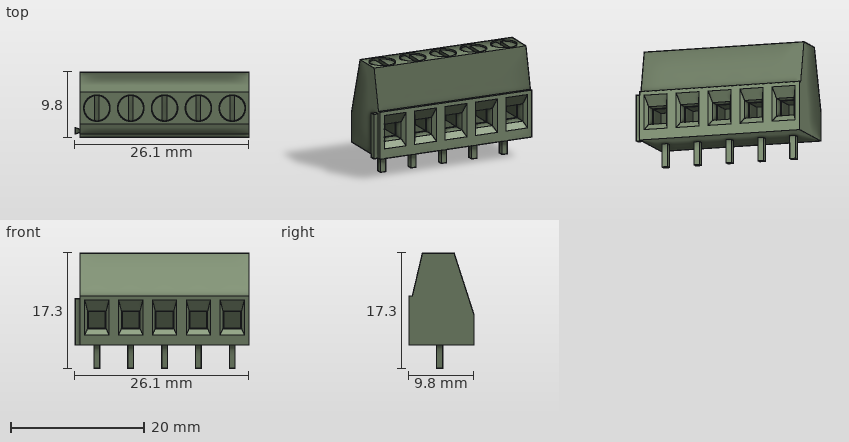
import cadquery as cq

pole_count = 5
pitch = 5.08
body_length = pole_count * pitch
body_depth = 9.8
body_height = 13.8

ledge_depth = 0.5
ledge_height = 7.4
top_front_y = 2.0
top_back_y = 6.8
back_wall_height = 4.5

entry_width = 3.65
entry_bottom = 1.55
entry_height = 5.25
throat_width = 2.8
throat_height = 2.7
throat_bottom = 2.45
bore_size = 2.5
funnel_depth = 0.8
throat_end_y = 2.6
bore_end_y = 6.0

screw_y = (top_front_y + top_back_y) / 2
screw_hole_diameter = 4.0
screw_diameter = 3.8
screw_hole_depth = 1.5
screw_recess = 0.2
slot_width = 0.7
slot_depth = 0.8

pin_width = 0.9
pin_thickness = 1.0
pin_length = 3.5
pin_y = 4.6

key_projection = 0.74
key_height = 7.0
key_y = 1.0
key_outer_width = 1.0
key_root_width = 0.5

pole_centres = [(index + 0.5) * pitch for index in range(pole_count)]


def make_housing():
    profile = [
        (0, 0),
        (body_depth, 0),
        (body_depth, back_wall_height),
        (top_back_y, body_height),
        (top_front_y, body_height),
        (ledge_depth, ledge_height),
        (0, ledge_height),
    ]
    return cq.Workplane("YZ").polyline(profile).close().extrude(body_length)


def make_wire_entry(pole_x):
    """Cutter for one wire entry, running inwards from the front face."""
    throat_z = throat_bottom + throat_height / 2
    entry_z = entry_bottom + entry_height / 2
    funnel = (
        cq.Workplane("XZ")
        .center(pole_x, entry_z)
        .rect(entry_width, entry_height)
        .workplane(offset=-funnel_depth)
        .center(0, throat_z - entry_z)
        .rect(throat_width, throat_height)
        .loft(ruled=True)
    )
    throat = (
        cq.Workplane("XZ", origin=(pole_x, funnel_depth, throat_z))
        .rect(throat_width, throat_height)
        .extrude(funnel_depth - throat_end_y)
    )
    bore = (
        cq.Workplane("XZ", origin=(pole_x, throat_end_y, throat_z))
        .rect(bore_size, bore_size)
        .extrude(throat_end_y - bore_end_y)
    )
    return funnel.union(throat).union(bore)


def make_screw_hole(pole_x):
    return (
        cq.Workplane("XY", origin=(pole_x, screw_y, body_height))
        .circle(screw_hole_diameter / 2)
        .extrude(-screw_hole_depth)
    )


def make_screw(pole_x):
    """Slotted screw head standing on the floor of its hole."""
    head_height = screw_hole_depth - screw_recess
    head = (
        cq.Workplane("XY", origin=(pole_x, screw_y, body_height - screw_hole_depth))
        .circle(screw_diameter / 2)
        .extrude(head_height)
    )
    slot = (
        cq.Workplane("XY", origin=(pole_x, screw_y, body_height - screw_recess))
        .rect(slot_width, screw_diameter)
        .extrude(-slot_depth)
    )
    return head.cut(slot)


def make_pin(pole_x):
    return (
        cq.Workplane("XY", origin=(pole_x, pin_y, 0))
        .rect(pin_width, pin_thickness)
        .extrude(-pin_length)
    )


def make_key():
    outline = [
        (0, key_y - key_root_width / 2),
        (0, key_y + key_root_width / 2),
        (-key_projection, key_y + key_outer_width / 2),
        (-key_projection, key_y - key_outer_width / 2),
    ]
    return cq.Workplane("XY").polyline(outline).close().extrude(key_height)


result = make_housing().union(make_key())
for pole in pole_centres:
    result = result.cut(make_wire_entry(pole))
    result = result.cut(make_screw_hole(pole))
    result = result.union(make_screw(pole))
    result = result.union(make_pin(pole))